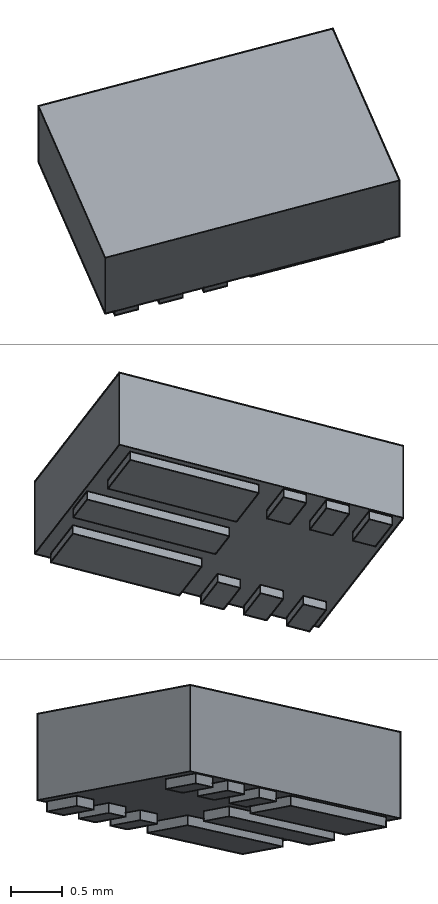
import cadquery as cq

HOUSING_WIDTH = 2.0
HOUSING_LENGTH = 3.0
TOTAL_HEIGHT = 0.95

PAD_HEIGHT = 0.1
HOUSING_HEIGHT = TOTAL_HEIGHT - PAD_HEIGHT

SIGNAL_OUTER_X = 0.975
SIGNAL_INNER_X = 0.582
SIGNAL_LENGTH = 0.24
SIGNAL_PITCH = 0.453
SIGNAL_ROWS = 3
FIRST_ROW_Y = -1.272

POWER_OUTER_X = 0.94
POWER_INNER_X = 0.41
POWER_FRONT_Y = 0.0
POWER_BACK_Y = 1.36

CENTRE_WIDTH = 0.33
CENTRE_FRONT_Y = -0.035
CENTRE_BACK_Y = 1.467


def make_housing():
    """Plain rectangular block resting on the pads."""
    return (
        cq.Workplane("XY")
        .workplane(offset=PAD_HEIGHT)
        .rect(HOUSING_WIDTH, HOUSING_LENGTH)
        .extrude(HOUSING_HEIGHT)
    )


def make_block(width, length, center_x, center_y):
    """Rectangular pad reaching from Z = 0 to the housing."""
    return cq.Workplane("XY").center(center_x, center_y).rect(width, length).extrude(PAD_HEIGHT)


def make_signal_pad(side, row):
    """Small pad; side is -1 or 1 along X, and rows count towards +Y."""
    return make_block(
        SIGNAL_OUTER_X - SIGNAL_INNER_X,
        SIGNAL_LENGTH,
        side * (SIGNAL_OUTER_X + SIGNAL_INNER_X) / 2,
        FIRST_ROW_Y + row * SIGNAL_PITCH,
    )


def make_power_pad(side):
    """Long pad; side is -1 or 1 along X."""
    return make_block(
        POWER_OUTER_X - POWER_INNER_X,
        POWER_BACK_Y - POWER_FRONT_Y,
        side * (POWER_OUTER_X + POWER_INNER_X) / 2,
        (POWER_FRONT_Y + POWER_BACK_Y) / 2,
    )


def make_centre_pad():
    """Longest pad, on the YZ plane."""
    return make_block(
        CENTRE_WIDTH,
        CENTRE_BACK_Y - CENTRE_FRONT_Y,
        0,
        (CENTRE_FRONT_Y + CENTRE_BACK_Y) / 2,
    )


SIDES = (-1, 1)

housing = make_housing()
signal_pads = [make_signal_pad(side, row) for side in SIDES for row in range(SIGNAL_ROWS)]
power_pads = [make_power_pad(side) for side in SIDES]
centre_pad = make_centre_pad()

result = cq.Compound.makeCompound([
    housing.val(),
    *[pad.val() for pad in signal_pads],
    *[pad.val() for pad in power_pads],
    centre_pad.val(),
])